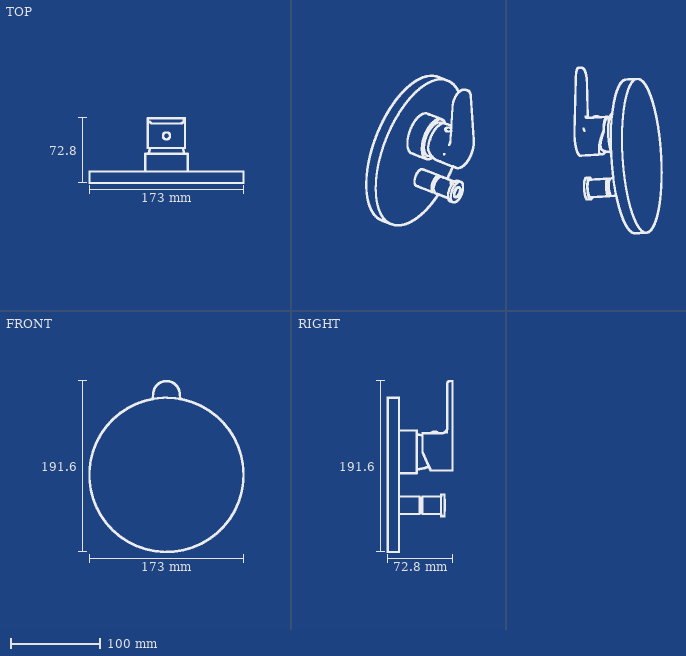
import cadquery as cq
import math


plate_radius = 86.5
plate_thickness = 13.0

valve_z = 25.7
collar_radius = 24.0
collar_length = 20.0
collar_end_y = plate_thickness + collar_length
collar_chamfer = 0.5
neck_base_radius = 20.0
neck_cone_radius = 18.9
neck_cone_end_y = 38.0
neck_dome_middle_radius = 16.1
neck_dome_middle_y = 46.4
neck_tip_radius = 12.0
neck_tip_y = 50.5

valve_to_diverter = 59.8
diverter_z = valve_z - valve_to_diverter
diverter_radius = 10.0
diverter_base_length = 23.0
diverter_base_end_y = plate_thickness + diverter_base_length
diverter_step_radius = 8.8
diverter_step_length = 0.8
diverter_neck_radius = 7.5
diverter_knob_start_y = 39.0
diverter_flange_radius = 12.3
diverter_flange_start_y = 60.1
diverter_flange_end_y = 63.9
diverter_cap_radius = 5.9
diverter_cap_end_y = 64.5
diverter_dot_radius = 1.5
diverter_dot_depth = 0.3
diverter_dot_y = 56.7

handle_radius = 21.0
handle_start_y = 39.0
handle_end_y = 72.8
relief_depth = 9.4
lever_overhang = 18.64
lever_top_z = plate_radius + lever_overhang
lever_tip_radius = 15.0
lever_thickness = 6.0
lever_edge_radius = 3.0
lever_root_radius = 6.0
handle_back_fillet = 0.5
handle_dot_radius = 4.0
handle_dot_height = 1.8
handle_dot_y = 52.8

lever_front_y = handle_end_y - lever_thickness
lever_root_y = lever_front_y - lever_root_radius
tip_centre_z = lever_top_z - lever_tip_radius


def turned(outline, z):
    """Revolve a closed (radius, y) outline about the Y-parallel axis at height z."""
    return outline.close().revolve(360, (0, 0, 0), (0, 1, 0)).translate((0, 0, z))


def rod(radius, start_y, end_y, z):
    """Round bar along Y."""
    return (
        cq.Workplane("XZ", origin=(0, start_y, z))
        .circle(radius)
        .extrude(start_y - end_y)
    )


def valve_neck():
    """Tapered neck ending in a dome that seats inside the handle."""
    outline = (
        cq.Workplane("XY")
        .moveTo(0, plate_thickness)
        .lineTo(neck_base_radius, plate_thickness)
        .lineTo(neck_base_radius, collar_end_y)
        .lineTo(neck_cone_radius, neck_cone_end_y)
        .threePointArc((neck_dome_middle_radius, neck_dome_middle_y), (neck_tip_radius, neck_tip_y))
        .lineTo(0, neck_tip_y)
    )
    return turned(outline, valve_z)


def diverter():
    """Diverter base, neck and flanged knob with an indicator dot on top."""
    step_end_y = diverter_base_end_y + diverter_step_length
    stem = rod(diverter_radius, plate_thickness, diverter_base_end_y, diverter_z)
    sections = [
        (diverter_step_radius, diverter_base_end_y, step_end_y),
        (diverter_neck_radius, step_end_y, diverter_knob_start_y),
        (diverter_radius, diverter_knob_start_y, diverter_flange_start_y),
        (diverter_flange_radius, diverter_flange_start_y, diverter_flange_end_y),
        (diverter_cap_radius, diverter_flange_end_y, diverter_cap_end_y),
    ]
    for radius, start_y, end_y in sections:
        stem = stem.union(rod(radius, start_y, end_y, diverter_z))
    dot = (
        cq.Workplane("XY", origin=(0, diverter_dot_y, diverter_z + diverter_radius))
        .circle(diverter_dot_radius)
        .extrude(-diverter_dot_depth)
    )
    return stem.cut(dot)


def make_trim():
    """Plate with the collar, neck and diverter standing on its back."""
    plate = rod(plate_radius, 0, plate_thickness, 0)
    collar = (
        rod(collar_radius, plate_thickness, collar_end_y, valve_z)
        .faces(">Y")
        .chamfer(collar_chamfer)
    )
    return plate.union(collar).union(valve_neck()).union(diverter())


def lever_blade():
    """Teardrop lever whose sides are tangent to the handle, flared at its root."""
    lean = math.asin((handle_radius - lever_tip_radius) / (tip_centre_z - valve_z))
    root_x = handle_radius * math.cos(lean)
    root_z = valve_z + handle_radius * math.sin(lean)
    tip_x = lever_tip_radius * math.cos(lean)
    tip_z = tip_centre_z + lever_tip_radius * math.sin(lean)
    blade = (
        cq.Workplane("XZ", origin=(0, lever_root_y, 0))
        .moveTo(root_x, root_z)
        .lineTo(tip_x, tip_z)
        .threePointArc((0, lever_top_z), (-tip_x, tip_z))
        .lineTo(-root_x, root_z)
        .threePointArc((0, valve_z - handle_radius), (root_x, root_z))
        .close()
        .extrude(-(handle_end_y - lever_root_y))
    )
    reach = lever_top_z
    quarter = lever_root_radius * math.sqrt(0.5)
    flare_x = handle_radius + lever_root_radius
    clearance = (
        cq.Workplane("XY")
        .moveTo(handle_radius, lever_root_y)
        .threePointArc((flare_x - quarter, lever_root_y + quarter), (flare_x, lever_front_y))
        .lineTo(reach, lever_front_y)
        .lineTo(reach, lever_root_y)
    )
    blade = blade.cut(turned(clearance, valve_z))
    tip_edge = cq.NearestToPointSelector((0, lever_front_y, lever_top_z))
    return blade.edges(tip_edge).fillet(lever_edge_radius)


def make_handle():
    """Handle barrel with lever, indicator dot, slanted underside and neck socket."""
    barrel = rod(handle_radius, handle_start_y, lever_root_y, valve_z)
    relief = (
        cq.Workplane("YZ", origin=(-handle_radius, 0, 0))
        .moveTo(handle_start_y, valve_z)
        .lineTo(handle_start_y, valve_z - handle_radius)
        .lineTo(handle_start_y + relief_depth, valve_z - handle_radius)
        .close()
        .extrude(2 * handle_radius)
    )
    dot_sphere_radius = (handle_dot_radius**2 + handle_dot_height**2) / (2 * handle_dot_height)
    dot_top_z = valve_z + handle_radius + handle_dot_height
    dot_centre = (0, handle_dot_y, dot_top_z - dot_sphere_radius)
    dome = cq.Workplane("XY", origin=dot_centre).sphere(dot_sphere_radius)
    dot = (
        cq.Workplane("XY", origin=(0, handle_dot_y, dot_top_z))
        .circle(handle_dot_radius)
        .extrude(-dot_sphere_radius)
        .intersect(dome)
    )
    body = barrel.union(lever_blade()).faces(">Y").edges().fillet(handle_back_fillet)
    return body.cut(relief).union(dot).cut(valve_neck())


trim = make_trim()
handle = make_handle()
result = cq.Compound.makeCompound([trim.val(), handle.val()])